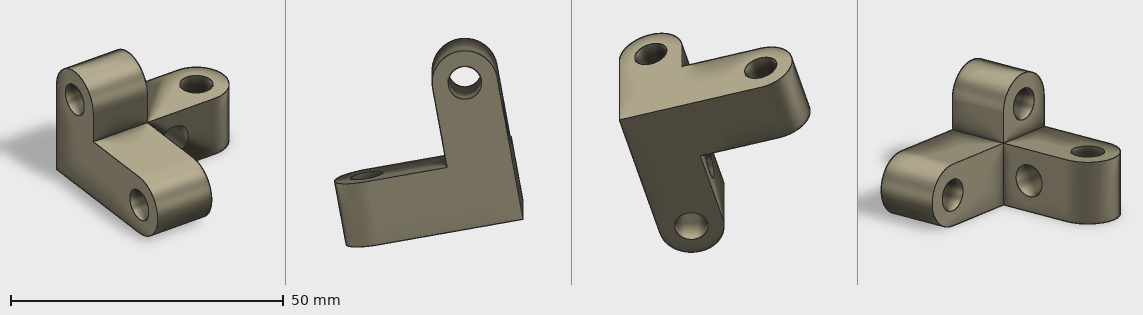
import cadquery as cq

arm_length = 33.0
arm_width = 12.0
hole_diameter = 6.1
lug_radius = arm_width / 2
lug_height = 2 * arm_width
end_center = arm_length - lug_radius
upright_center = lug_height - lug_radius
cross_hole_y = 1.5 * arm_width


def round_ended_arm(plane, length):
    """Arm from the corner along the plane's local x, with a full-round end."""
    center = length - lug_radius
    return (
        cq.Workplane(plane)
        .lineTo(center, 0)
        .threePointArc((length, lug_radius), (center, arm_width))
        .lineTo(0, arm_width)
        .close()
        .extrude(arm_width)
    )


def hole(origin, direction):
    """Cutter one arm width long, starting on an outer face."""
    return cq.Workplane(
        cq.Solid.makeCylinder(
            hole_diameter / 2, arm_width, cq.Vector(*origin), cq.Vector(*direction)
        )
    )


x_arm = round_ended_arm(cq.Plane((0, arm_width, 0), (1, 0, 0), (0, -1, 0)), arm_length)
y_arm = round_ended_arm(cq.Plane((0, 0, arm_width), (0, 1, 0), (0, 0, -1)), arm_length)
z_arm = round_ended_arm(cq.Plane((0, 0, 0), (0, 0, 1), (0, 1, 0)), lug_height)
body = x_arm.union(y_arm).union(z_arm)

holes = [
    hole((end_center, 0, lug_radius), (0, 1, 0)),
    hole((lug_radius, end_center, 0), (0, 0, 1)),
    hole((lug_radius, 0, upright_center), (0, 1, 0)),
    hole((0, cross_hole_y, lug_radius), (1, 0, 0)),
]
for cutter in holes:
    body = body.cut(cutter)

result = body